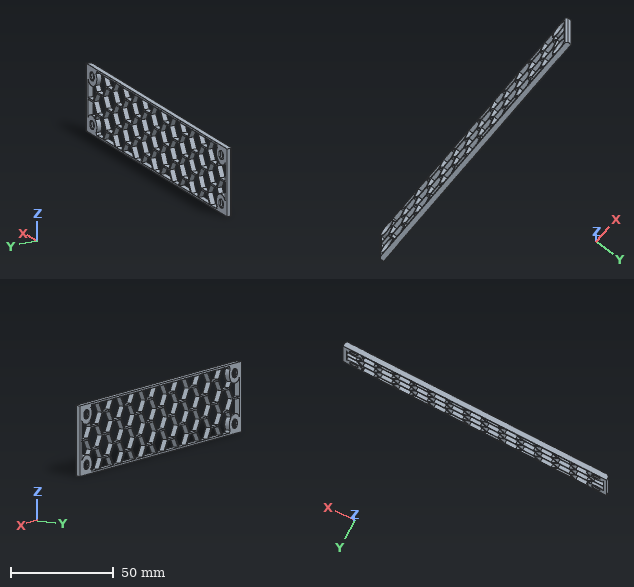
import cadquery as cq
import math

length = 144.8
height = 35.0
thickness = 3.0
end_chamfer = 1.0

side_border = 1.9
rail_border = 1.05
window_length = length - 2 * side_border
window_height = height - 2 * rail_border

cell_sides = 6
cell_corner_diameter = 12.0
cell_pitch = 11.25
column_pitch = cell_pitch * math.cos(math.pi / cell_sides)
end_column = 7

hole_diameter = 4.5
countersink_diameter = 9.0
countersink_angle = 90.0
boss_diameter = 10.0
hole_inset_x = 6.0
hole_inset_z = 5.0
hole_spacing_x = length - 2 * hole_inset_x
hole_spacing_z = height - 2 * hole_inset_z


def front_plane():
    """Sketch plane on the front face (Y = 0): local x is +X, local y is +Z, normal is -Y."""
    return cq.Workplane("XZ")


def at_screws(workplane):
    """The same workplane with a point at each of the four screw positions."""
    return workplane.rect(hole_spacing_x, hole_spacing_z, forConstruction=True).vertices()


def make_panel():
    """Plate reaching back to +Y, with its two front end edges chamfered."""
    plate = front_plane().rect(length, height).extrude(-thickness)
    return plate.faces("<Y").edges("|Z").chamfer(end_chamfer)


def cell_centres():
    """Centres of the open cells; the four cells at the screw corners stay solid."""
    centres = []
    for column in range(-end_column, end_column + 1):
        if abs(column) == end_column:
            rows = (-0.5, 0.5)
        elif column % 2 == 0:
            rows = (-1, 0, 1)
        else:
            rows = (-1.5, -0.5, 0.5, 1.5)
        for row in rows:
            centres.append((column * column_pitch, row * cell_pitch))
    return centres


def make_grille_openings():
    """Hexagonal prisms trimmed to the window, leaving round bosses at the screws."""
    cell_sketch = front_plane().pushPoints(cell_centres()).polygon(cell_sides, cell_corner_diameter)
    cells = cell_sketch.extrude(-thickness)
    window = front_plane().rect(window_length, window_height).extrude(-thickness)
    bosses = at_screws(front_plane()).circle(boss_diameter / 2).extrude(-thickness)
    return cells.intersect(window).cut(bosses)


def cut_screw_holes(body):
    """Through holes countersunk from the front face."""
    front_face = body.faces("<Y").workplane(origin=(0, 0, 0))
    return at_screws(front_face).cskHole(hole_diameter, countersink_diameter, countersink_angle)


grille = make_panel().cut(make_grille_openings())
result = cut_screw_holes(grille).solids()